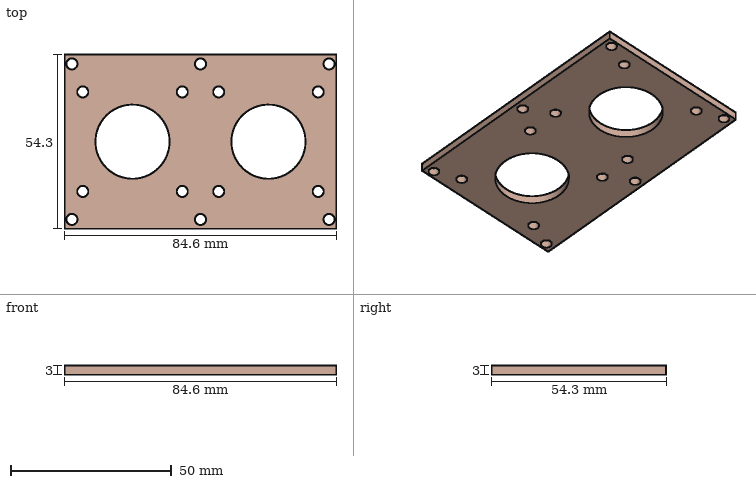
import cadquery as cq

length = 84.6
width = 54.3
thickness = 3.0

opening_diameter = 23.0
opening_x = length / 4

screw_diameter = 3.4
square_pitch = 31.0
edge_column_pitch = 40.0
edge_row_spacing = 48.4

opening_centers = [(-opening_x, 0), (opening_x, 0)]


def cut_opening_with_screws(plate, center):
    """Cut one large opening and the square of screw holes around it."""
    face = plate.faces(">Z").workplane(origin=(*center, thickness))
    plate = face.circle(opening_diameter / 2).cutThruAll()
    face = plate.faces(">Z").workplane(origin=(*center, thickness))
    return face.rarray(square_pitch, square_pitch, 2, 2).circle(screw_diameter / 2).cutThruAll()


def cut_edge_screws(plate):
    """Cut the rows of screw holes along the two long edges."""
    face = plate.faces(">Z").workplane(origin=(0, 0, thickness))
    holes = face.rarray(edge_column_pitch, edge_row_spacing, 3, 2)
    return holes.circle(screw_diameter / 2).cutThruAll()


plate = cq.Workplane("XY").box(length, width, thickness, centered=(True, True, False))
for opening_center in opening_centers:
    plate = cut_opening_with_screws(plate, opening_center)

result = cut_edge_screws(plate)